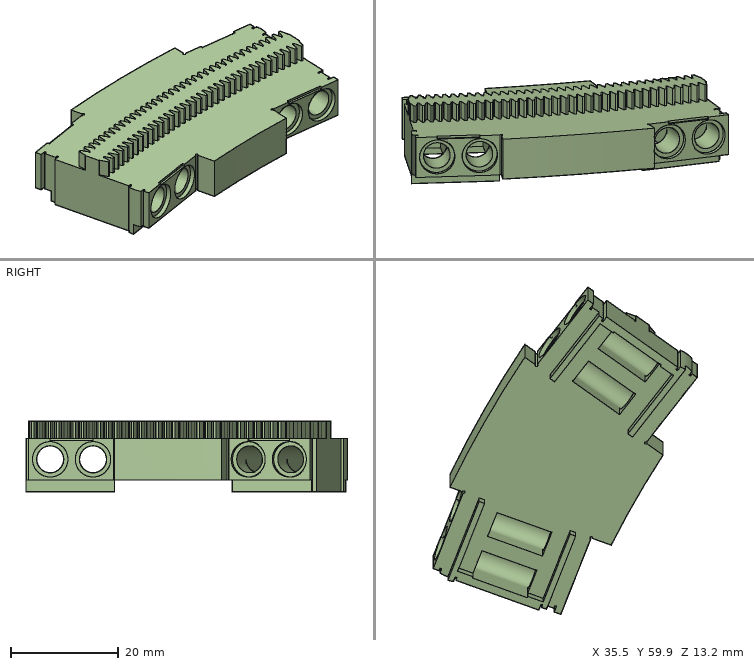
import cadquery as cq
import math

track_radius = 202.8
track_angle = 16.0
body_half_width = 16.0
end_half_width = 12.7
end_length = 16.0
foot_height = 2.15
body_height = 7.8
rack_height = 3.25

tab_inner = 8.5
tab_outer = 11.2
tab_reach = 0.35
tab_crown = 0.17
notch_inner = 8.35
notch_outer = 11.4
notch_depth = 0.65
relief_width = 0.3
relief_depth = 0.55
shoulder_relief_radius = 0.25

hole_diameter = 5.0
counterbore_diameter = 6.6
counterbore_depth = 0.9
hole_positions = (4.0, 12.0)
hole_wall = 7.25
lip_depth = 0.5
lip_height = 0.4

foot_half_width = 9.6
foot_wall = 1.1
foot_end_wall = 1.8

tooth_count = 36
tooth_tip_offset = 3.3
tooth_root_offset = 1.55
tooth_tip_width = 0.4
tooth_root_width = 0.25

body_top = foot_height + body_height
hole_height = foot_height + body_height / 2
overlap = 0.6

angle = math.radians(track_angle)
far_x = track_radius * (1 - math.cos(angle))
far_y = track_radius * math.sin(angle)


def track_point(offset, turn):
    """Plan point beside the centreline; a positive offset lies outside the bend."""
    radius = track_radius + offset
    return (track_radius - radius * math.cos(turn), radius * math.sin(turn))


def box(x_range, y_range, z_range):
    """Box between the given limits."""
    (x0, x1), (y0, y1), (z0, z1) = x_range, y_range, z_range
    return cq.Workplane("XY").box(x1 - x0, y1 - y0, z1 - z0, centered=False).translate((x0, y0, z0))


def place_at_far_end(end_shape):
    """Move a shape built on the near end to the far end of the bend."""
    return end_shape.rotate((0, 0, 0), (0, 0, 1), 180 - track_angle).translate((far_x, far_y, 0))


def curved_middle():
    """Wide curved body, cut off square to each straight end."""
    outer_start = math.asin(end_length / (track_radius + body_half_width))
    inner_start = math.asin(end_length / (track_radius - body_half_width))
    half = angle / 2
    return (
        cq.Workplane("XY", origin=(0, 0, foot_height))
        .moveTo(*track_point(body_half_width, outer_start))
        .threePointArc(track_point(body_half_width, half), track_point(body_half_width, angle - outer_start))
        .lineTo(*track_point(-body_half_width, angle - inner_start))
        .threePointArc(track_point(-body_half_width, half), track_point(-body_half_width, inner_start))
        .close()
        .extrude(body_height)
    )


def end_block():
    """Straight end with its tab, notch and foot; the end face lies on Y = 0."""
    tab_middle = (tab_inner + tab_outer) / 2
    block = (
        cq.Workplane("XY")
        .moveTo(-end_half_width, 0)
        .lineTo(-notch_outer, 0)
        .lineTo(-notch_outer, notch_depth)
        .lineTo(-notch_inner, notch_depth)
        .lineTo(-notch_inner, 0)
        .lineTo(tab_inner, 0)
        .lineTo(tab_inner, -tab_reach)
        .threePointArc((tab_middle, -tab_reach - tab_crown), (tab_outer, -tab_reach))
        .lineTo(tab_outer, 0)
        .lineTo(end_half_width, 0)
        .lineTo(end_half_width, end_length)
        .lineTo(-end_half_width, end_length)
        .close()
        .extrude(body_top)
    )
    below_body = (-overlap, foot_height)
    for side in (-1, 1):
        edges = sorted((side * foot_half_width, side * 2 * end_half_width))
        block = block.cut(box(edges, (-end_length, 2 * end_length), below_body))
    inner_half_width = foot_half_width - foot_wall
    hollow = box((-inner_half_width, inner_half_width), (foot_end_wall, 2 * end_length), below_body)
    return block.cut(hollow).cut(joint_reliefs())


def joint_reliefs():
    """Slots that clear the inside corners of the tab and the notch."""
    slots = cq.Workplane("XY")
    for left, base in (
        (-notch_outer, notch_depth),
        (-notch_inner - relief_width, notch_depth),
        (tab_inner - relief_width, 0),
        (tab_outer, 0),
    ):
        depth_range = (base - overlap / 2, base + relief_depth)
        slots = slots.union(box((left, left + relief_width), depth_range, (0, body_top)))
    return slots


def end_cuts():
    """Pin holes, underside slots, lips and shoulder reliefs of one end."""
    radius = hole_diameter / 2
    slot_half_length = end_half_width - hole_wall
    cuts = cq.Workplane("XY")
    for position in hole_positions:
        axis = cq.Workplane("YZ", origin=(-end_half_width - overlap, position, hole_height))
        cuts = cuts.union(axis.circle(radius).extrude(2 * (end_half_width + overlap)))
        cuts = cuts.union(box(
            (-slot_half_length, slot_half_length),
            (position - radius, position + radius),
            (-overlap, hole_height),
        ))
    for side in (-1, 1):
        floor = side * (end_half_width - counterbore_depth)
        for position in hole_positions:
            seat = cq.Workplane("YZ", origin=(floor, position, hole_height))
            cuts = cuts.union(seat.circle(counterbore_diameter / 2).extrude(side * counterbore_depth))
        lip_edges = sorted((side * (end_half_width - lip_depth), side * end_half_width))
        cuts = cuts.union(box(lip_edges, hole_positions, (body_top - lip_height, body_top)))
        corner = cq.Workplane("XY", origin=(side * end_half_width, end_length, 0))
        cuts = cuts.union(corner.circle(shoulder_relief_radius).extrude(body_top))
    return cuts


def rack_side(side):
    """Tooth outline along one side of the rack, from near end to far end."""
    tip, root = side * tooth_tip_offset, side * tooth_root_offset
    pitch = angle / tooth_count
    half_tip = tooth_tip_width / track_radius / 2
    half_root = tooth_root_width / track_radius / 2
    points = [track_point(root, 0)]
    for tooth in range(tooth_count):
        middle = (tooth + 0.5) * pitch
        points.append(track_point(root, middle - pitch / 2 + half_root))
        points.append(track_point(tip, middle - half_tip))
        points.append(track_point(tip, middle + half_tip))
        points.append(track_point(root, middle + pitch / 2 - half_root))
    points.append(track_point(root, angle))
    return points


def rack():
    """Double-sided curved rack standing on the body."""
    outline = rack_side(1) + rack_side(-1)[::-1]
    base = cq.Workplane("XY", origin=(0, 0, body_top - overlap))
    return base.polyline(outline).close().extrude(rack_height + overlap)


near_block = end_block()
near_cuts = end_cuts()
result = curved_middle().union(near_block).union(place_at_far_end(near_block))
result = result.cut(near_cuts).cut(place_at_far_end(near_cuts)).union(rack())